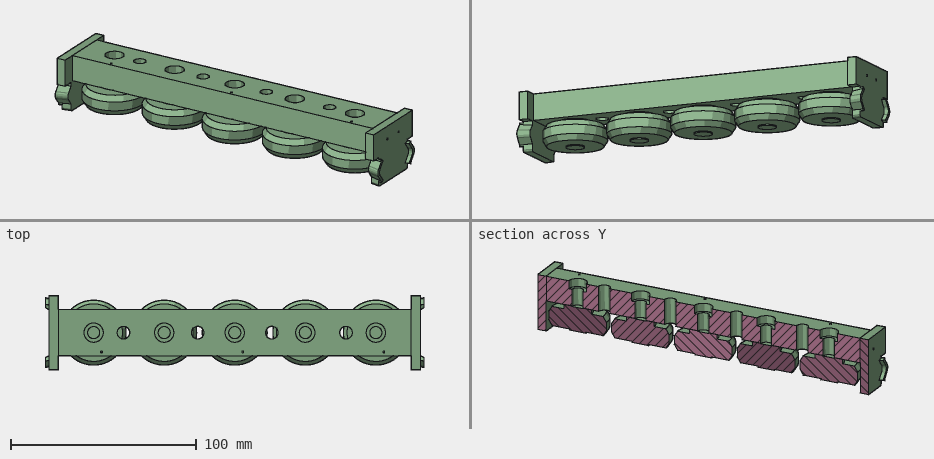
import cadquery as cq
import math


BAR_LENGTH = 190.0
BAR_WIDTH = 25.0
BAR_HEIGHT = 14.7
MOUNT_HOLE_DIAMETER = 6.7
MOUNT_HOLE_PITCH = 40.0
BOLT_HOLE_DIAMETER = 6.5
BOLT_HEAD_DIAMETER = 10.5
BOLT_HEAD_DEPTH = 4.7
PIN_HOLE_DIAMETER = 1.0
OIL_HOLE_OFFSET_X = 4.3
OIL_HOLE_Y = -10.5

ROLLER_COUNT = 5
ROLLER_ROW_LENGTH = 152.0
ROLLER_DIAMETER = 35.0
ROLLER_FACE_DIAMETER = 31.0
ROLLER_THICKNESS = 11.5
ROLLER_RIM_HEIGHT = 5.0
ROLLER_CENTRE_Z = -22.6
HUB_DIAMETER = 17.0
STUD_DIAMETER = 10.0
STUD_PROJECTION = 0.6

OVERALL_LENGTH = 204.0
PLATE_THICKNESS = 5.0
PLATE_WIDTH = 40.0
PLATE_HEIGHT = 32.2
SHOULDER_HEIGHT = 15.3
NECK_WIDTH = 30.5
NECK_LEAN_ANGLE = 11
FOOT_FILLET = 1.2
EAR_WIDTH = 37.7
EAR_NOSE_RADIUS = 3.3
EAR_FLANK_ANGLE = 38
EAR_LEAN_ANGLE = 14
LIP_HEIGHT = 13.5
LIP_END_DROP = 1.0
LIP_EDGE_WALL = 1.8
LIP_ROOT_WALL = 2.5
PLATE_HOLE_SPACING = 11.6
PLATE_HOLE_Z = -7.5

ROLLER_PITCH = ROLLER_ROW_LENGTH / (ROLLER_COUNT - 1)
PLATE_OUTER_X = BAR_LENGTH / 2 + PLATE_THICKNESS
LIP_TOP_Z = ROLLER_CENTRE_Z + LIP_HEIGHT / 2
LIP_BOTTOM_Z = ROLLER_CENTRE_Z - LIP_HEIGHT / 2
LIP_PROJECTION = OVERALL_LENGTH / 2 - PLATE_OUTER_X


def centred_positions(count, pitch):
    """Positions along X of a row spaced by pitch and centred on the origin."""
    return [(i - (count - 1) / 2) * pitch for i in range(count)]


ROLLER_XS = centred_positions(ROLLER_COUNT, ROLLER_PITCH)
MOUNT_HOLE_XS = centred_positions(ROLLER_COUNT - 1, MOUNT_HOLE_PITCH)


def make_bar():
    """Bar with a counterbored bolt hole over each roller, mounting holes and oil holes."""
    bar = cq.Workplane("XY").box(BAR_LENGTH, BAR_WIDTH, BAR_HEIGHT, centered=(True, True, False))
    bar = bar.translate((0, 0, -BAR_HEIGHT))
    top = bar.faces(">Z").workplane(origin=(0, 0, 0))
    bar = top.pushPoints([(x, 0) for x in ROLLER_XS]).cboreHole(
        BOLT_HOLE_DIAMETER, BOLT_HEAD_DIAMETER, BOLT_HEAD_DEPTH
    )
    top = bar.faces(">Z").workplane(origin=(0, 0, 0))
    bar = top.pushPoints([(x, 0) for x in MOUNT_HOLE_XS]).hole(MOUNT_HOLE_DIAMETER)
    oil_points = [(x + OIL_HOLE_OFFSET_X, OIL_HOLE_Y) for x in ROLLER_XS[::2]]
    top = bar.faces(">Z").workplane(origin=(0, 0, 0))
    return top.pushPoints(oil_points).hole(PIN_HOLE_DIAMETER)


def make_roller(x):
    """Roller with bevelled rims, the hub that spaces it from the bar, and the stud end below."""
    face_top = ROLLER_CENTRE_Z + ROLLER_THICKNESS / 2
    face_bottom = ROLLER_CENTRE_Z - ROLLER_THICKNESS / 2
    rim_top = ROLLER_CENTRE_Z + ROLLER_RIM_HEIGHT / 2
    rim_bottom = ROLLER_CENTRE_Z - ROLLER_RIM_HEIGHT / 2
    stud_bottom = face_bottom - STUD_PROJECTION
    half_profile = [
        (0, -BAR_HEIGHT),
        (HUB_DIAMETER / 2, -BAR_HEIGHT),
        (HUB_DIAMETER / 2, face_top),
        (ROLLER_FACE_DIAMETER / 2, face_top),
        (ROLLER_DIAMETER / 2, rim_top),
        (ROLLER_DIAMETER / 2, rim_bottom),
        (ROLLER_FACE_DIAMETER / 2, face_bottom),
        (STUD_DIAMETER / 2, face_bottom),
        (STUD_DIAMETER / 2, stud_bottom),
        (0, stud_bottom),
    ]
    roller = cq.Workplane("XZ").polyline(half_profile).close().revolve(360, (0, 0), (0, 1))
    return roller.translate((x, 0, 0))


def ear_nose(tip_y):
    """Upper end, tip and lower end of the nose arc of an ear, as (y, z) points."""
    angle = math.radians(EAR_FLANK_ANGLE)
    end_y = tip_y - EAR_NOSE_RADIUS * (1 - math.cos(angle))
    end_rise = EAR_NOSE_RADIUS * math.sin(angle)
    return (
        (end_y, ROLLER_CENTRE_Z + end_rise),
        (tip_y, ROLLER_CENTRE_Z),
        (end_y, ROLLER_CENTRE_Z - end_rise),
    )


FLANK_SLOPE = math.tan(math.radians(EAR_FLANK_ANGLE))


def lean(setback, angle):
    """Inward shift of a leaning face at a distance from the free end of the lip."""
    return setback * math.tan(math.radians(angle))


def neck_y(setback):
    """Half width of the neck and foot, which narrow towards the bar."""
    return NECK_WIDTH / 2 - lean(setback, NECK_LEAN_ANGLE)


def ear_tip_y(setback):
    """Reach of the ear, which also falls back towards the bar."""
    return EAR_WIDTH / 2 - lean(setback, EAR_LEAN_ANGLE)


def draw_half_web(sketch, setback):
    """Add the +Y half of the neck, ear and foot as a closed YZ outline."""
    upper, tip, lower = ear_nose(ear_tip_y(setback))
    flank_height = (upper[0] - neck_y(setback)) / FLANK_SLOPE
    return (
        sketch.moveTo(0, -SHOULDER_HEIGHT)
        .lineTo(neck_y(setback), -SHOULDER_HEIGHT)
        .lineTo(neck_y(setback), upper[1] + flank_height)
        .lineTo(*upper)
        .threePointArc(tip, lower)
        .lineTo(neck_y(setback), lower[1] - flank_height)
        .lineTo(neck_y(setback), -PLATE_HEIGHT)
        .lineTo(0, -PLATE_HEIGHT)
        .close()
    )


def make_half_web():
    """The +Y half below the shoulder, as deep as the plate and lip together."""
    depth = PLATE_THICKNESS + LIP_PROJECTION
    bar_side = draw_half_web(cq.Workplane("YZ", origin=(BAR_LENGTH / 2, 0, 0)), depth)
    free_side = draw_half_web(bar_side.workplane(offset=depth), 0)
    web = free_side.loft(ruled=True, combine=True)
    foot_corner = (BAR_LENGTH / 2 + depth / 2, NECK_WIDTH / 2, -PLATE_HEIGHT)
    return web.edges(cq.selectors.NearestToPointSelector(foot_corner)).fillet(FOOT_FILLET)


def draw_lip_clearance(sketch, setback, wall):
    """Add the +Y half of the region around a lip, whose wall is measured along Y, to a YZ sketch."""
    upper, tip, lower = ear_nose(ear_tip_y(setback) - wall)
    inner_top_z = LIP_TOP_Z - LIP_END_DROP
    inner_bottom_z = LIP_BOTTOM_Z + LIP_END_DROP
    inner_end_y = upper[0] - (inner_top_z - upper[1]) * FLANK_SLOPE
    return (
        sketch.moveTo(0, 0)
        .lineTo(EAR_WIDTH / 2, 0)
        .lineTo(EAR_WIDTH / 2, LIP_TOP_Z)
        .lineTo(NECK_WIDTH / 2, LIP_TOP_Z)
        .lineTo(inner_end_y, inner_top_z)
        .lineTo(*upper)
        .threePointArc(tip, lower)
        .lineTo(inner_end_y, inner_bottom_z)
        .lineTo(NECK_WIDTH / 2, LIP_BOTTOM_Z)
        .lineTo(EAR_WIDTH / 2, LIP_BOTTOM_Z)
        .lineTo(EAR_WIDTH / 2, -PLATE_HEIGHT)
        .lineTo(0, -PLATE_HEIGHT)
        .close()
    )


def make_lip_clearance():
    """Material removed in front of the plate, leaving a lip that is thicker at its root."""
    root = cq.Workplane("YZ", origin=(PLATE_OUTER_X, 0, 0))
    root = draw_lip_clearance(root, LIP_PROJECTION, LIP_ROOT_WALL)
    free_end = draw_lip_clearance(root.workplane(offset=LIP_PROJECTION), 0, LIP_EDGE_WALL)
    return free_end.loft(ruled=True, combine=True)


def make_shoulder():
    """Rectangular upper part of the plate, which covers the end of the bar."""
    shoulder = cq.Workplane("XY").box(
        PLATE_THICKNESS, PLATE_WIDTH, SHOULDER_HEIGHT, centered=(False, True, False)
    )
    return shoulder.translate((BAR_LENGTH / 2, 0, -SHOULDER_HEIGHT))


def make_right_wiper():
    """Wiper plate at the +X end of the bar."""
    half = make_half_web().cut(make_lip_clearance())
    wiper = make_shoulder().union(half).union(half.mirror("XZ"))
    holes = (
        cq.Workplane("YZ", origin=(BAR_LENGTH / 2, 0, PLATE_HOLE_Z))
        .pushPoints([(-PLATE_HOLE_SPACING / 2, 0), (PLATE_HOLE_SPACING / 2, 0)])
        .circle(PIN_HOLE_DIAMETER / 2)
        .extrude(PLATE_THICKNESS)
    )
    return wiper.cut(holes)


bar = make_bar()
rollers = [make_roller(x) for x in ROLLER_XS]
right_wiper = make_right_wiper()
left_wiper = right_wiper.mirror("YZ")

result = cq.Compound.makeCompound(
    [bar.val(), *[roller.val() for roller in rollers], right_wiper.val(), left_wiper.val()]
)